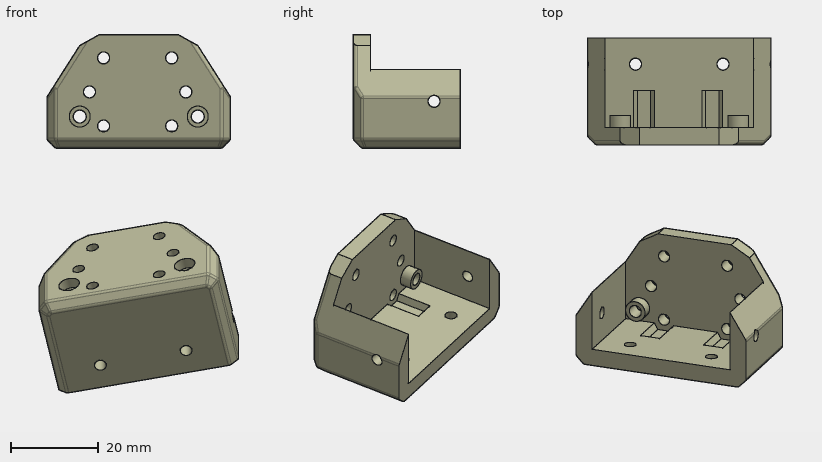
import cadquery as cq
import math

width = 42.0
depth = 24.5
height = 26.0
half_width = width / 2

chamfer = 1.97
edge_radius = 1.0
side_height = 11.7
shoulder_half_width = 13.52
shoulder_height = 23.48
top_half_width = 9.05

plate_thickness = 4.0
floor_thickness = 4.0
cavity_half_width = 16.95

screw_diameter = 2.7
circle_x = -0.25
circle_z = 12.9
circle_radius = 11.0
screw_angles = (-45, 0, 45, 135, 180, 225)

nut_angles = (-45, 225)
nut_across_flats = 5.25
nut_channel_end = 12.47

boss_x = 13.5
boss_z = 7.25
boss_diameter = 4.8
boss_length = 2.77
bore_diameter = 2.9
counterbore_depth = 2.6

mount_from_back = 6.0
mount_y = depth - mount_from_back
floor_hole_x = 10.0
side_hole_z = 10.75


def cylinder_along_y(x, z, diameter, start, length):
    plane = cq.Plane(origin=(x, start, z), xDir=(1, 0, 0), normal=(0, 1, 0))
    return cq.Workplane(plane).circle(diameter / 2).extrude(length)


def screw_place(angle):
    """Return X and Z of the circle screw at an angle in degrees, counted from +X."""
    x = circle_x + circle_radius * math.cos(math.radians(angle))
    z = circle_z + circle_radius * math.sin(math.radians(angle))
    return x, z


def make_front_prism(points, start, end):
    """Extrude an XZ outline along Y from start to end."""
    return cq.Workplane("XZ", origin=(0, start, 0)).polyline(points).close().extrude(start - end)


def make_shell():
    lean = (half_width - shoulder_half_width) / (shoulder_height - side_height)
    slope_top = half_width - (height - side_height) * lean
    right_side = [(half_width, 0), (half_width, side_height), (slope_top, height)]
    left_side = [(-x, z) for x, z in reversed(right_side)]
    body = make_front_prism(right_side + left_side, 0, depth)

    body = body.faces("<Y").edges("|Z").chamfer(chamfer)
    body = body.faces("<Z").edges("not(>Y)").chamfer(chamfer)
    open_edges = body.faces(">Y").edges().vals() + body.faces(">Z").edges().vals()
    rounded = [e for e in body.edges().vals() if not any(e.isSame(o) for o in open_edges)]
    return body.newObject(rounded).fillet(edge_radius)


def cut_top_corners(body):
    """Cut the plate's upper corners along the lines from the top edge to the shoulders."""
    drop = (height - shoulder_height) / (shoulder_half_width - top_half_width)
    corner_bottom = height - (half_width - top_half_width) * drop
    corner = [(top_half_width, height), (half_width, height), (half_width, corner_bottom)]
    cutter = make_front_prism(corner, 0, plate_thickness)
    return body.cut(cutter).cut(cutter.mirror("YZ"))


def cut_cavity(body):
    cavity = cq.Workplane().box(2 * cavity_half_width, depth, height, centered=(True, False, False))
    return body.cut(cavity.translate((0, plate_thickness, floor_thickness)))


result = cut_cavity(cut_top_corners(make_shell()))

for x in (-boss_x, boss_x):
    boss = cylinder_along_y(x, boss_z, boss_diameter, plate_thickness, boss_length)
    result = result.union(boss)
    result = result.cut(cylinder_along_y(x, boss_z, bore_diameter, 0, plate_thickness + boss_length))
    result = result.cut(cylinder_along_y(x, boss_z, boss_diameter, 0, counterbore_depth))

for angle in screw_angles:
    x, z = screw_place(angle)
    result = result.cut(cylinder_along_y(x, z, screw_diameter, 0, plate_thickness))

nut_across_corners = nut_across_flats / math.cos(math.radians(30))
for angle in nut_angles:
    x, z = screw_place(angle)
    channel = (
        cq.Workplane("XZ", origin=(x, plate_thickness, z))
        .polygon(6, nut_across_corners)
        .extrude(plate_thickness - nut_channel_end)
    )
    result = result.cut(channel)

floor_holes = (
    cq.Workplane()
    .pushPoints([(-floor_hole_x, mount_y), (floor_hole_x, mount_y)])
    .circle(screw_diameter / 2)
    .extrude(floor_thickness)
)
side_holes = (
    cq.Workplane("YZ", origin=(-half_width, 0, 0))
    .center(mount_y, side_hole_z)
    .circle(screw_diameter / 2)
    .extrude(width)
)
result = result.cut(floor_holes).cut(side_holes)